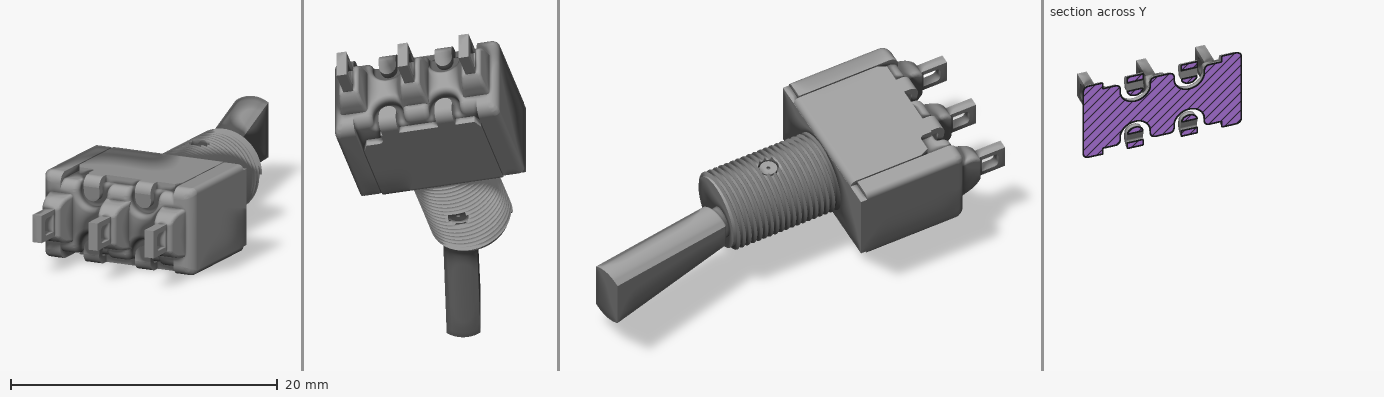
import cadquery as cq
import math


CASE_WIDTH = 12.7
CASE_LENGTH = 8.9
CASE_HEIGHT = 6.76
CASE_SIDE_FILLET = 0.42
CASE_REAR_FILLET = 0.8
FLANGE_THICKNESS = 0.52
FLANGE_HEIGHT = CASE_HEIGHT - 2 * CASE_SIDE_FILLET
FLANGE_FILLET = 0.5

SHEET = 0.54
COVER_SEAT_WIDTH = 9.5
COVER_WIDTH = 9.26
COVER_REAR_Y = -7.72
NOTCH_FRONT_Y = -6.7
NOTCH_INNER_X = -2.95
NOTCH_RADIUS = 0.36
COVER_CORNER_X = 0.34
COVER_CORNER_Y = 0.7

TAB_WIDTH = 1.32
TAB_BEND_RADIUS = 0.75
TAB_INWARD_TILT = 10
TAB_REACH = 1.9
TAB_X = 2.16
RECESS_DIAMETER = 2.39
RECESS_CENTER_Z = 2.17
RECESS_DEPTH = 0.95
RECESS_FILLET = 0.4
RECESS_FLOOR_FILLET = 0.22

TERMINAL_PITCH = 4.72
TERMINAL_THICKNESS = 0.76
TERMINAL_WIDTH = 2.12
TERMINAL_TIP_Y = -12.82
TERMINAL_HOLE_WIDTH = 1.32
TERMINAL_HOLE_START_Y = -10.85
TERMINAL_HOLE_END_Y = -12.25
TERMINAL_HOLE_FILLET = 0.35
BOSS_BASE_WIDTH = 2.06
BOSS_TIP_WIDTH = 1.45
BOSS_BASE_HEIGHT = 3.74
BOSS_SHOULDER_HEIGHT = 3.5
BOSS_TIP_HEIGHT = 2.1
BOSS_SHOULDER_Y = -9.6
BOSS_TIP_Y = -10.65
BOSS_ARC_Y = -10.3
BOSS_ARC_HALF_HEIGHT = 1.45
BOSS_FILLET = 0.25
BOSS_TIP_FILLET = 0.3

BUSHING_LENGTH = 8.95
THREAD_MAJOR_DIAMETER = 6.35
THREAD_MINOR_DIAMETER = 5.7
THREAD_PITCH = 0.47
THREAD_RIDGE_BASE = 0.32
THREAD_TOP_Y = 8.75
THREAD_START_Y = -0.2
THREAD_EMBED = 0.06

PIVOT_Y = 4.52
PIVOT_HOLE_DIAMETER = 1.59
PIVOT_HOLE_FLOOR_Z = 2.4
PIN_DIAMETER = 1.32
PIN_LENGTH = 5.5
PIN_DIMPLE_DIAMETER = 0.3
PIN_DIMPLE_DEPTH = 0.2

LEVER_TILT = 12.5
LEVER_TIP = 15.81
LEVER_BASE = 5.12
LEVER_THICKNESS = 2.53
LEVER_TIP_FLAT = 4.26
LEVER_TIP_CREST = 5.1
LEVER_BASE_FLAT = 2.16
LEVER_BASE_CREST = 3.24
LEVER_BASE_FILLET = 0.2
NECK_DIAMETER = 2.39

EMBED = 0.5


def block(width, length, height):
    """Box centred on X and Z that runs from Y = 0 to Y = -length."""
    return cq.Workplane("XY").box(width, length, height).translate((0, -length / 2, 0))


def both_faces(feature):
    """The feature together with its mirror image on the -Z side."""
    return feature.union(feature.mirror("XY"))


def tab_recess():
    """Round-ended slot in the rear face that opens toward +Z."""
    slot_length = CASE_HEIGHT / 2 - RECESS_CENTER_Z + EMBED
    floor = cq.Workplane("XZ", origin=(0, RECESS_DEPTH - CASE_LENGTH, RECESS_CENTER_Z))
    rounded = floor.circle(RECESS_DIAMETER / 2).extrude(RECESS_DEPTH + EMBED)
    straight = floor.center(0, slot_length / 2).rect(RECESS_DIAMETER, slot_length)
    slot = rounded.union(straight.extrude(RECESS_DEPTH + EMBED)).clean()
    return slot.faces(">Y").edges("not >Z").fillet(RECESS_FLOOR_FILLET)


def case():
    """Moulded case with seats for the cover and recesses for its tabs."""
    length = CASE_LENGTH - FLANGE_THICKNESS
    shell = block(CASE_WIDTH, length, CASE_HEIGHT)
    shell = shell.edges("|Y").fillet(CASE_SIDE_FILLET)
    shell = shell.faces("<Y").edges().fillet(CASE_REAR_FILLET)

    seats = block(COVER_SEAT_WIDTH, length, CASE_HEIGHT)
    core = block(COVER_SEAT_WIDTH, length, CASE_HEIGHT - 2 * SHEET)
    core = core.faces("<Y").edges("|X").fillet(CASE_REAR_FILLET)
    core = core.translate((0, -FLANGE_THICKNESS, 0))
    for x in (-TAB_X, TAB_X):
        core = core.cut(both_faces(tab_recess()).translate((x, 0, 0)))
    core = core.faces("<Y").edges("%CIRCLE").fillet(RECESS_FILLET)
    return shell.cut(seats).translate((0, -FLANGE_THICKNESS, 0)).union(core)


def flange():
    """Front plate, lower than the case, with a full-height middle that has rounded edges."""
    plate = block(CASE_WIDTH, FLANGE_THICKNESS, FLANGE_HEIGHT)
    middle = block(COVER_WIDTH, FLANGE_THICKNESS, CASE_HEIGHT)
    middle = middle.faces(">Y").edges("|X").fillet(FLANGE_FILLET)
    return plate.union(middle)


def cover_sheet():
    """Flat cover panel on the +Z side, notched at its rear left corner."""
    half = COVER_WIDTH / 2
    outline = (
        cq.Workplane("XY", origin=(0, 0, CASE_HEIGHT / 2 - SHEET))
        .moveTo(-half, -FLANGE_THICKNESS)
        .lineTo(-half, NOTCH_FRONT_Y + COVER_CORNER_Y)
        .lineTo(-half + COVER_CORNER_X, NOTCH_FRONT_Y)
        .lineTo(NOTCH_INNER_X - NOTCH_RADIUS, NOTCH_FRONT_Y)
        .radiusArc((NOTCH_INNER_X, NOTCH_FRONT_Y - NOTCH_RADIUS), NOTCH_RADIUS)
        .lineTo(NOTCH_INNER_X, COVER_REAR_Y)
        .lineTo(half - COVER_CORNER_X, COVER_REAR_Y)
        .lineTo(half, COVER_REAR_Y + COVER_CORNER_Y)
        .lineTo(half, -FLANGE_THICKNESS)
        .close()
    )
    return outline.extrude(SHEET)


def cover_tab():
    """Tab that bends around the rear edge and dips into its recess, with a rounded end."""
    top = CASE_HEIGHT / 2
    inner = TAB_BEND_RADIUS - SHEET
    bend_y = TAB_BEND_RADIUS - CASE_LENGTH
    bend_z = top - TAB_BEND_RADIUS
    inward = math.radians(TAB_INWARD_TILT)
    start = math.pi / 2
    end = math.pi
    middle = (start + end) / 2

    def on_bend(radius, angle):
        return (bend_y + radius * math.cos(angle), bend_z + radius * math.sin(angle))

    def along_leg(point):
        return (point[0] + TAB_REACH * math.sin(inward), point[1] - TAB_REACH * math.cos(inward))

    profile = (
        cq.Workplane("YZ", origin=(-TAB_WIDTH / 2, 0, 0))
        .moveTo(COVER_REAR_Y + EMBED, top)
        .lineTo(*on_bend(TAB_BEND_RADIUS, start))
        .threePointArc(on_bend(TAB_BEND_RADIUS, middle), on_bend(TAB_BEND_RADIUS, end))
        .lineTo(*along_leg(on_bend(TAB_BEND_RADIUS, end)))
        .lineTo(*along_leg(on_bend(inner, end)))
        .lineTo(*on_bend(inner, end))
        .threePointArc(on_bend(inner, middle), on_bend(inner, start))
        .lineTo(COVER_REAR_Y + EMBED, top - SHEET)
        .close()
    )
    strip = profile.extrude(TAB_WIDTH)

    end_radius = TAB_WIDTH / 2
    round_z = top - TAB_REACH + end_radius
    straight_height = top - round_z
    plane = cq.Workplane("XZ", origin=(0, 0, round_z))
    rounded = plane.circle(end_radius).extrude(CASE_LENGTH + EMBED)
    straight = plane.center(0, straight_height / 2).rect(TAB_WIDTH, straight_height)
    return strip.intersect(rounded.union(straight.extrude(CASE_LENGTH + EMBED)))


def cover():
    """Cover panels with their folded tabs on both faces of the case."""
    sheet = cover_sheet()
    for x in (-TAB_X, TAB_X):
        sheet = sheet.union(cover_tab().translate((x, 0, 0)))
    return both_faces(sheet)


def boss():
    """Boss around a terminal: tapered across X, rounded over across Z."""
    root_y = EMBED - CASE_LENGTH
    side = (
        cq.Workplane("YZ", origin=(-CASE_WIDTH / 2, 0, 0))
        .moveTo(root_y, -BOSS_BASE_HEIGHT / 2)
        .lineTo(root_y, BOSS_BASE_HEIGHT / 2)
        .lineTo(-CASE_LENGTH, BOSS_BASE_HEIGHT / 2)
        .lineTo(BOSS_SHOULDER_Y, BOSS_SHOULDER_HEIGHT / 2)
        .threePointArc((BOSS_ARC_Y, BOSS_ARC_HALF_HEIGHT), (BOSS_TIP_Y, BOSS_TIP_HEIGHT / 2))
        .lineTo(BOSS_TIP_Y, -BOSS_TIP_HEIGHT / 2)
        .threePointArc((BOSS_ARC_Y, -BOSS_ARC_HALF_HEIGHT), (BOSS_SHOULDER_Y, -BOSS_SHOULDER_HEIGHT / 2))
        .lineTo(-CASE_LENGTH, -BOSS_BASE_HEIGHT / 2)
        .close()
        .extrude(CASE_WIDTH)
    )
    taper = (
        cq.Workplane("XY", origin=(0, 0, -CASE_HEIGHT / 2))
        .moveTo(-BOSS_BASE_WIDTH / 2, root_y)
        .lineTo(-BOSS_BASE_WIDTH / 2, -CASE_LENGTH)
        .lineTo(-BOSS_TIP_WIDTH / 2, BOSS_TIP_Y)
        .lineTo(BOSS_TIP_WIDTH / 2, BOSS_TIP_Y)
        .lineTo(BOSS_BASE_WIDTH / 2, -CASE_LENGTH)
        .lineTo(BOSS_BASE_WIDTH / 2, root_y)
        .close()
        .extrude(CASE_HEIGHT)
        .faces("<Y")
        .edges("|Z")
        .fillet(BOSS_TIP_FILLET)
    )
    solid = side.intersect(taper)
    return solid.edges("(not |X) and (not |Z) and (not |Y)").fillet(BOSS_FILLET)


def terminal():
    """Flat solder lug with a hole that is rounded at its outer end."""
    root_y = -CASE_LENGTH
    length = root_y - TERMINAL_TIP_Y
    lug = block(TERMINAL_THICKNESS, length, TERMINAL_WIDTH).translate((0, root_y, 0))
    hole_length = TERMINAL_HOLE_START_Y - TERMINAL_HOLE_END_Y
    hole = block(2 * TERMINAL_THICKNESS, hole_length, TERMINAL_HOLE_WIDTH)
    hole = hole.faces("<Y").edges("|X").fillet(TERMINAL_HOLE_FILLET)
    return lug.cut(hole.translate((0, TERMINAL_HOLE_START_Y, 0)))


def cylinder_along_y(diameter, start_y, end_y):
    """Cylinder on the Y axis between two positions."""
    return cq.Workplane("ZX", origin=(0, start_y, 0)).circle(diameter / 2).extrude(end_y - start_y)


def bushing():
    """Bushing with a raised right-hand helical thread of triangular section."""
    root = THREAD_MINOR_DIAMETER / 2
    inner = root - THREAD_EMBED
    height = THREAD_TOP_Y - THREAD_START_Y
    path = cq.Wire.makeHelix(THREAD_PITCH, height, inner)
    ridge = (
        cq.Workplane("XZ")
        .moveTo(inner, -THREAD_RIDGE_BASE / 2)
        .lineTo(THREAD_MAJOR_DIAMETER / 2, 0)
        .lineTo(inner, THREAD_RIDGE_BASE / 2)
        .close()
        .sweep(cq.Workplane(path), isFrenet=True)
    )
    ridge = ridge.rotate((0, 0, 0), (1, 0, 0), -90).translate((0, THREAD_START_Y, 0))
    ridge = ridge.rotate((0, 0, 0), (0, 1, 0), -360 * height / THREAD_PITCH)
    return cylinder_along_y(THREAD_MINOR_DIAMETER, -EMBED, BUSHING_LENGTH).union(ridge)


def disc_pair(diameter, inner_z, outer_z):
    """Cylinders on the pivot axis between two heights, on both sides of Z = 0."""
    disc = cq.Workplane("XY", origin=(0, PIVOT_Y, inner_z)).circle(diameter / 2).extrude(outer_z - inner_z)
    return both_faces(disc)


def lever():
    """Tilted lever: flat across X, arched across Z and widening toward its tip."""

    def section(y, flat, crest):
        half = LEVER_THICKNESS / 2
        return (
            cq.Workplane("XZ", origin=(0, y, 0))
            .moveTo(-half, -flat / 2)
            .lineTo(-half, flat / 2)
            .threePointArc((0, crest / 2), (half, flat / 2))
            .lineTo(half, -flat / 2)
            .threePointArc((0, -crest / 2), (-half, -flat / 2))
            .close()
            .wires()
            .val()
        )

    ends = [
        section(LEVER_BASE, LEVER_BASE_FLAT, LEVER_BASE_CREST),
        section(LEVER_TIP, LEVER_TIP_FLAT, LEVER_TIP_CREST),
    ]
    handle = cq.Workplane(cq.Solid.makeLoft(ends, True))
    handle = handle.faces("<Y").edges().fillet(LEVER_BASE_FILLET)
    neck = cylinder_along_y(NECK_DIAMETER, 0, LEVER_BASE + EMBED)
    upright = handle.union(neck)
    return upright.rotate((0, 0, 0), (0, 0, 1), LEVER_TILT).translate((0, PIVOT_Y, 0))


threaded = bushing().cut(disc_pair(PIVOT_HOLE_DIAMETER, PIVOT_HOLE_FLOOR_Z, CASE_HEIGHT / 2))
threaded = threaded.union(disc_pair(PIN_DIAMETER, PIVOT_HOLE_FLOOR_Z - EMBED, PIN_LENGTH / 2))
threaded = threaded.cut(disc_pair(PIN_DIMPLE_DIAMETER, PIN_LENGTH / 2 - PIN_DIMPLE_DEPTH, CASE_HEIGHT / 2))

result = case().union(flange()).union(cover())
for index in (-1, 0, 1):
    x = index * TERMINAL_PITCH
    result = result.union(boss().translate((x, 0, 0)))
    result = result.union(terminal().translate((x, 0, 0)))
result = result.union(threaded).union(lever())